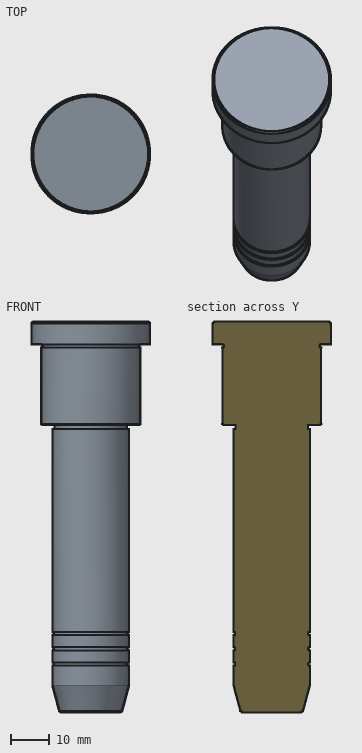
import cadquery as cq
import math

total_length = 102.0
head_radius = 15.5
collar_radius = 13.0
shaft_radius = 10.0

head_height = 6.0
head_chamfer = 0.5
collar_end = 27.0
collar_chamfer = 0.3

neck_width = 1.0
neck_depth = 0.5

groove_radius = 0.4
groove_count = 3
groove_pitch = 4.0
lowest_groove_height = 12.6

lead_height = 7.0
lead_angle = 15.0
tip_chamfer = 0.4


def disc(radius, bottom, top):
    """Solid cylinder on the Z axis between two heights."""
    return cq.Workplane("XY").workplane(offset=bottom).circle(radius).extrude(top - bottom)


def ring_cutter(surface_radius, center_height):
    """Round ring that cuts a half-round groove into a cylindrical surface."""
    return (
        cq.Workplane("XZ")
        .center(surface_radius, center_height)
        .circle(groove_radius)
        .revolve(360, (-surface_radius, 0, 0), (-surface_radius, 1, 0))
    )


head_bottom = total_length - head_height
collar_bottom = total_length - collar_end
shaft_top = collar_bottom - neck_width

collar = (
    disc(collar_radius, collar_bottom, head_bottom)
    .faces("<Z")
    .edges()
    .chamfer(collar_chamfer)
    .cut(ring_cutter(collar_radius, head_bottom - groove_radius))
)

head = disc(head_radius, head_bottom, total_length).faces(">Z").edges().chamfer(head_chamfer)
neck = disc(shaft_radius - neck_depth, shaft_top, collar_bottom)

tip_radius = shaft_radius - lead_height * math.tan(math.radians(lead_angle))
shaft = (
    cq.Workplane("XZ")
    .polyline([
        (0, 0),
        (tip_radius, 0),
        (shaft_radius, lead_height),
        (shaft_radius, shaft_top),
        (0, shaft_top),
    ])
    .close()
    .revolve(360, (0, 0, 0), (0, 1, 0))
    .faces("<Z")
    .edges()
    .chamfer(tip_chamfer)
)
for index in range(groove_count):
    shaft = shaft.cut(ring_cutter(shaft_radius, lowest_groove_height + index * groove_pitch))

result = shaft.union(neck).union(collar).union(head)